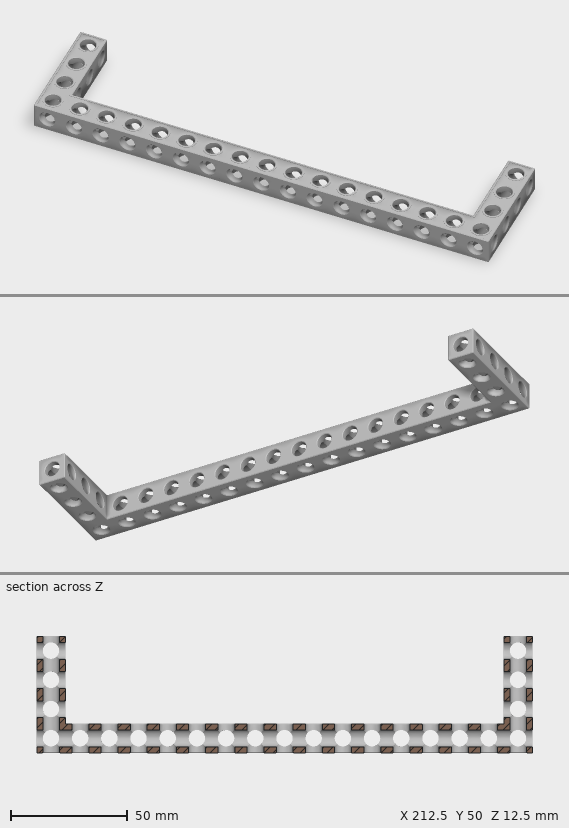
import cadquery as cq

length = 212.5
holes_along_bar = 17
holes_along_arm = 4
hole_diameter = 7.0
collar_diameter = 9.1
edge_chamfer = 0.3
hole_chamfer = 0.3
recess_depth = 0.2

pitch = length / holes_along_bar
half_length = length / 2
half_pitch = pitch / 2
arm_length = holes_along_arm * pitch
rim_width = (collar_diameter - hole_diameter) / 2

bar_hole_xs = [-half_length + half_pitch + i * pitch for i in range(holes_along_bar)]
arm_hole_ys = [half_pitch + i * pitch for i in range(holes_along_arm)]
arm_hole_xs = [bar_hole_xs[0], bar_hole_xs[-1]]

corner_row_y = arm_hole_ys[0]
free_arm_ys = arm_hole_ys[1:]
free_bar_xs = bar_hole_xs[1:-1]
cell_centers = [(x, corner_row_y) for x in bar_hole_xs]
cell_centers += [(x, y) for x in arm_hole_xs for y in free_arm_ys]


def beam(x_length, y_length, center_x):
    """Straight square beam with every edge broken, starting at Y = 0 and Z = 0."""
    block = cq.Workplane("XY").box(x_length, y_length, pitch, centered=(True, False, False))
    return block.edges().chamfer(edge_chamfer).translate((center_x, 0, 0))


def frame():
    """Bar along X joined at its ends to two arms along +Y."""
    body = beam(length, pitch, 0)
    for x in arm_hole_xs:
        body = body.union(beam(pitch, arm_length, x))
    return body


def top_recess():
    """Shallow pocket that leaves a rim along the outline and a collar around each vertical hole."""
    outer_x = half_length - rim_width
    inner_x = half_length - pitch + rim_width
    end_y = arm_length - rim_width
    inner_y = pitch - rim_width
    outline = [
        (-outer_x, rim_width),
        (outer_x, rim_width),
        (outer_x, end_y),
        (inner_x, end_y),
        (inner_x, inner_y),
        (-inner_x, inner_y),
        (-inner_x, end_y),
        (-outer_x, end_y),
    ]
    floor = cq.Workplane("XY", origin=(0, 0, pitch - recess_depth))
    pocket = floor.polyline(outline).close().extrude(recess_depth)
    collars = floor.pushPoints(cell_centers).circle(collar_diameter / 2).extrude(recess_depth)
    return pocket.cut(collars)


def drill(start, direction, depth):
    """Cutter for a through hole whose two mouths are chamfered."""
    radius = hole_diameter / 2
    mouth_radius = radius + hole_chamfer
    profile = [
        (0, 0),
        (mouth_radius, 0),
        (radius, hole_chamfer),
        (radius, depth - hole_chamfer),
        (mouth_radius, depth),
        (0, depth),
    ]
    tool = cq.Workplane("XZ").polyline(profile).close().revolve(360, (0, 0), (0, 1))
    location = cq.Plane(origin=start, normal=direction).location
    return tool.val().moved(location)


def drills():
    along_x, along_y, along_z = (1, 0, 0), (0, 1, 0), (0, 0, 1)
    tools = [drill((x, y, 0), along_z, pitch) for x, y in cell_centers]

    tools.append(drill((-half_length, corner_row_y, half_pitch), along_x, length))
    tools += [drill((x, 0, half_pitch), along_y, arm_length) for x in arm_hole_xs]

    tools += [drill((x, 0, half_pitch), along_y, pitch) for x in free_bar_xs]
    for x in arm_hole_xs:
        tools += [drill((x - half_pitch, y, half_pitch), along_x, pitch) for y in free_arm_ys]
    return tools


result = frame().cut(top_recess())

for tool in drills():
    result = result.cut(cq.Workplane(tool))